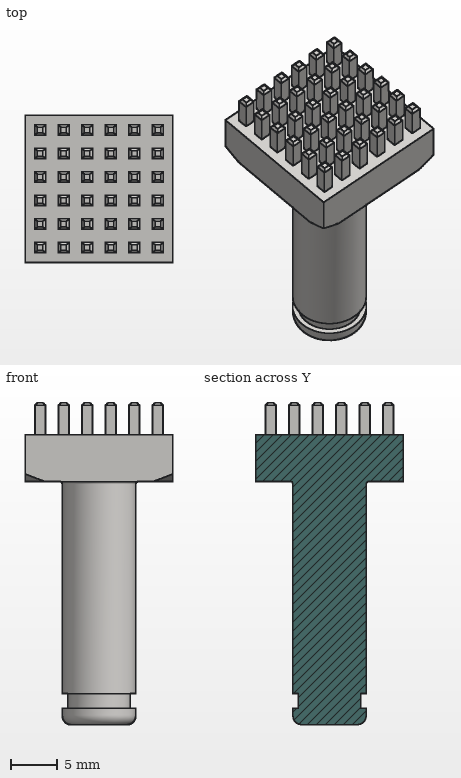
import cadquery as cq

total_height = 34.9
head_width = 16.0
head_height = 5.1

pins_per_side = 6
pin_pitch = 2.55
pin_width = 1.15
pin_height = 3.45
pin_tip_inset = 0.28
pin_tip_height = 0.28

trim_base_radius = 9.88
trim_height = 0.85

shaft_diameter = 8.0
shaft_root_fillet = 0.28
groove_diameter = 6.8
groove_height = 1.57
end_collar_height = 1.8
end_fillet = 1.0

head_top = total_height - pin_height
head_bottom = head_top - head_height
groove_top = end_collar_height + groove_height

shaft_radius = shaft_diameter / 2
groove_radius = groove_diameter / 2
head_corner_radius = head_width / 2 * 2**0.5


def make_head():
    """Square block with its lower corners trimmed by a shallow cone."""
    block = (
        cq.Workplane("XY")
        .workplane(offset=head_bottom)
        .rect(head_width, head_width)
        .extrude(head_height)
    )
    trim_slope = trim_height / (head_corner_radius - trim_base_radius)
    outer_radius = head_corner_radius + trim_height
    outer_height = trim_slope * (outer_radius - trim_base_radius)
    wedge = (
        cq.Workplane("XZ")
        .moveTo(trim_base_radius, head_bottom)
        .lineTo(outer_radius, head_bottom)
        .lineTo(outer_radius, head_bottom + outer_height)
        .close()
        .revolve(360, (0, 0, 0), (0, 1, 0))
    )
    return block.cut(wedge)


def make_shaft():
    """Revolved shaft: rounded end, collar, groove and a small fillet under the head."""
    root_start = head_bottom - shaft_root_fillet
    root_radius = shaft_radius + shaft_root_fillet
    return (
        cq.Workplane("XZ")
        .lineTo(shaft_radius - end_fillet, 0)
        .radiusArc((shaft_radius, end_fillet), -end_fillet)
        .lineTo(shaft_radius, end_collar_height)
        .lineTo(groove_radius, end_collar_height)
        .lineTo(groove_radius, groove_top)
        .lineTo(shaft_radius, groove_top)
        .lineTo(shaft_radius, root_start)
        .radiusArc((root_radius, head_bottom), shaft_root_fillet)
        .lineTo(0, head_bottom)
        .close()
        .revolve(360, (0, 0, 0), (0, 1, 0))
    )


def make_pins():
    """Square grid of square pins with bevelled tips."""
    return (
        cq.Workplane("XY")
        .workplane(offset=head_top)
        .rarray(pin_pitch, pin_pitch, pins_per_side, pins_per_side)
        .rect(pin_width, pin_width)
        .extrude(pin_height)
        .faces(">Z")
        .chamfer(pin_tip_height, pin_tip_inset)
    )


result = make_head().union(make_shaft()).union(make_pins())